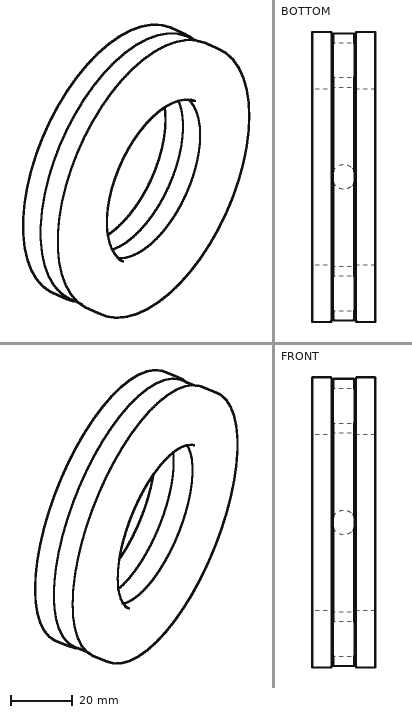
import cadquery as cq

outer_diameter = 94.5
total_width = 20.6

roller_diameter = 7.9
roller_count = 4
roller_length = 11.3

washer_bore = 57.15
washer_width = (total_width - roller_diameter) / 2

edge_radius = 0.5

cage_outer_diameter = outer_diameter - 2 * edge_radius
cage_bore = washer_bore + 2 * edge_radius
cage_width = 6.9

pitch_radius = (cage_outer_diameter + cage_bore) / 4
center_to_washer = (total_width - washer_width) / 2


def rounded_ring(outer, bore, width, center_x):
    """Flat ring around the X axis with all four circular edges rounded."""
    return (
        cq.Workplane("YZ", origin=(center_x - width / 2, 0, 0))
        .circle(outer / 2)
        .circle(bore / 2)
        .extrude(width)
        .edges()
        .fillet(edge_radius)
    )


def roller(angle):
    """Cylindrical roller lying in the YZ plane with its axis pointing away from the X axis."""
    return (
        cq.Workplane("XY", origin=(0, 0, pitch_radius - roller_length / 2))
        .circle(roller_diameter / 2)
        .extrude(roller_length)
        .rotate((0, 0, 0), (1, 0, 0), angle)
    )


washers = [
    rounded_ring(outer_diameter, washer_bore, washer_width, side * center_to_washer)
    for side in (-1, 1)
]

rollers = [roller(i * 360 / roller_count) for i in range(roller_count)]

cage = rounded_ring(cage_outer_diameter, cage_bore, cage_width, 0)
for body in rollers:
    cage = cage.cut(body)

result = cq.Compound.makeCompound(
    [washer.val() for washer in washers] + [cage.val()] + [body.val() for body in rollers]
)